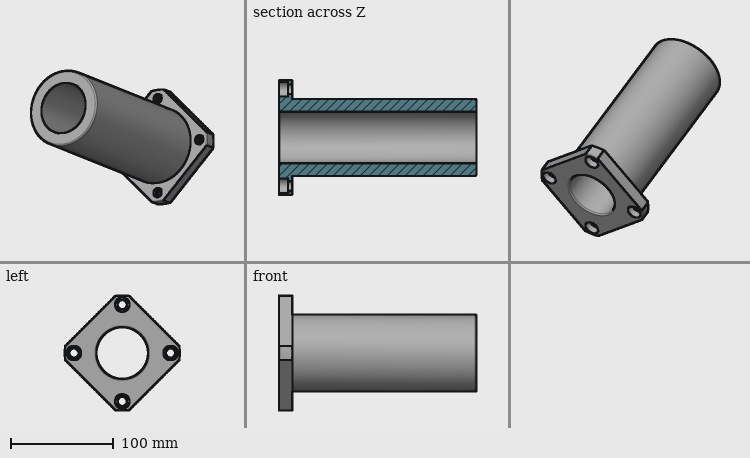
import cadquery as cq

total_length = 192.0
sleeve_diameter = 75.0
bore_diameter = 50.0
bore_mouth_fillet = 1.5
sleeve_end_fillet = 1.5

flange_thickness = 13.0
flange_square_side = 88.0
flange_corner_circle = 112.0
flange_corner_fillet = 0.8
flange_turn = 45.0

screw_count = 4
screw_pitch_circle = 94.0
screw_hole_diameter = 9.0
counterbore_diameter = 14.0
counterbore_depth = 8.6


def cylinder_along_x(diameter, length):
    """Cylinder starting at X = 0 and running toward +X."""
    return cq.Workplane("YZ").circle(diameter / 2).extrude(length)


def make_flange():
    """Disc with rounded rims, trimmed by a square prism standing on its corner."""
    disc = cylinder_along_x(flange_corner_circle, flange_thickness)
    disc = disc.edges("%CIRCLE").fillet(flange_corner_fillet)
    square = (
        cq.Workplane("YZ")
        .rect(flange_square_side, flange_square_side)
        .extrude(flange_thickness)
        .rotate((0, 0, 0), (1, 0, 0), flange_turn)
    )
    return disc.intersect(square)


def make_sleeve():
    """Round sleeve with a rounded rim at its free end."""
    sleeve = cylinder_along_x(sleeve_diameter, total_length)
    return sleeve.faces(">X").edges().fillet(sleeve_end_fillet)


def cut_bore(body):
    """Through bore, its mouth rounded over into the flange face."""
    body = body.cut(cylinder_along_x(bore_diameter, total_length))
    smallest_radius = cq.selectors.RadiusNthSelector(0)
    return body.faces("<X").edges("%CIRCLE").edges(smallest_radius).fillet(bore_mouth_fillet)


def cut_screw_holes(body):
    """Screw holes through the flange, counterbored from its outer face."""
    hole = cylinder_along_x(screw_hole_diameter, flange_thickness)
    counterbore = cylinder_along_x(counterbore_diameter, counterbore_depth)
    cutter = hole.union(counterbore).translate((0, 0, screw_pitch_circle / 2))
    for index in range(screw_count):
        angle = index * 360 / screw_count
        body = body.cut(cutter.rotate((0, 0, 0), (1, 0, 0), angle))
    return body


result = make_flange().union(make_sleeve())
result = cut_bore(result)
result = cut_screw_holes(result)